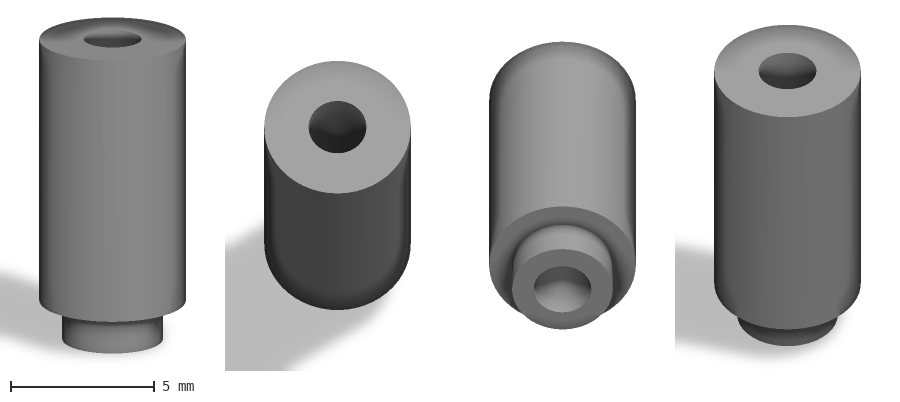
import cadquery as cq

body_diameter = 5.1
body_length = 9.5
spigot_diameter = 3.5
spigot_length = 1.4
bore_diameter = 2.01


def make_spigot():
    """Reduced-diameter locating end, standing on the XY plane."""
    return cq.Workplane("XY").circle(spigot_diameter / 2).extrude(spigot_length)


def add_body(spigot):
    """Main cylinder on top of the spigot."""
    return spigot.faces(">Z").workplane().circle(body_diameter / 2).extrude(body_length)


def cut_bore(spacer):
    """Plain axial hole through the full length."""
    return spacer.faces(">Z").workplane().hole(bore_diameter)


result = cut_bore(add_body(make_spigot()))